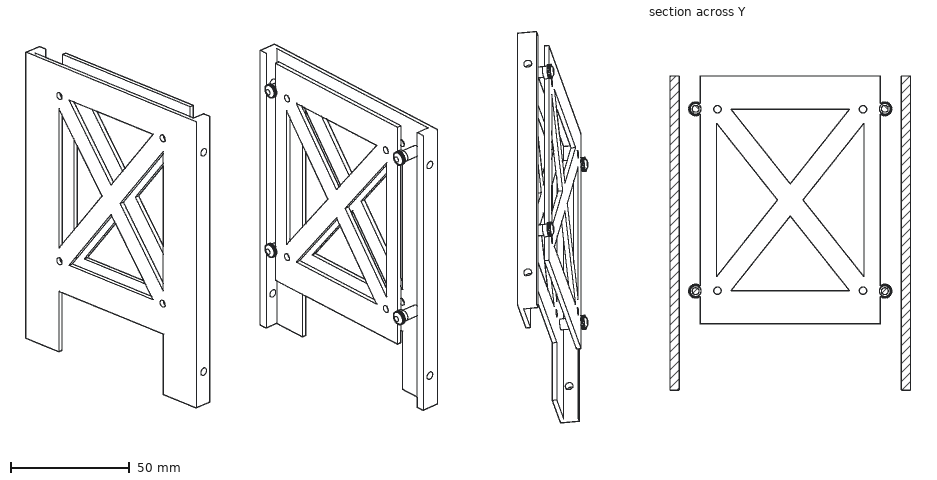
import cadquery as cq
HEIGHT = 132.6
WIDTH = 101.6
SHEET = 2.0
FLANGE_DEPTH = 8.1
FLANGE_THICKNESS = 4.0
CORNER_RADIUS = 0.4
LEG_NOTCH_HEIGHT = 28.0

WINDOW_WIDTH = 62.1
WINDOW_HEIGHT = 76.5
WINDOW_CENTER_Z = (HEIGHT + LEG_NOTCH_HEIGHT) / 2
BRACE_WIDTH = 8.5
BRACE_RUN = 60.8
CORNER_HOLE_SPACING = 61.4
CORNER_HOLE_DIAMETER = 3.0

SIDE_HOLE_DIAMETER = 3.3
SIDE_HOLE_INSET = 15.5
SIDE_HOLE_Y = 4.4

TOTAL_DEPTH = 13.5
HEAD_HEIGHT = 2.4
PLATE_BACK = TOTAL_DEPTH - HEAD_HEIGHT
PLATE_FRONT = PLATE_BACK - SHEET
PLATE_WIDTH = 76.0
STANDOFF_SPACING_X = 79.9
STANDOFF_SPACING_Z = 77.0
STANDOFF_DIAMETER = 4.6

SHANK_DIAMETER = 2.7
SHANK_LENGTH = PLATE_BACK - SHEET
HEAD_DIAMETER = 6.0
HEAD_RIM_HEIGHT = 1.5
HEAD_TOP_DIAMETER = 2.4
DOME_BULGE = 0.55
HEAD_FLUTES = 24
HEAD_FLUTE_DIAMETER = 0.5

STANDOFF_POSITIONS = [
    (side * STANDOFF_SPACING_X / 2, WINDOW_CENTER_Z + end * STANDOFF_SPACING_Z / 2)
    for side in (-1, 1)
    for end in (-1, 1)
]


def block(x_min, x_max, y_min, y_max, z_min, z_max):
    """Axis-aligned box between the given limits."""
    size = (x_max - x_min, y_max - y_min, z_max - z_min)
    return cq.Workplane("XY").box(*size, centered=False).translate((x_min, y_min, z_min))


def rod(x, z, diameter, y_start, y_end):
    """Cylinder along Y."""
    plane = cq.Workplane("XZ", origin=(x, y_start, z))
    return plane.circle(diameter / 2).extrude(y_start - y_end)


def braced_window():
    """Cutter for the window, leaving two crossed braces."""
    half_width = WINDOW_WIDTH / 2
    half_height = WINDOW_HEIGHT / 2
    slope = WINDOW_HEIGHT / BRACE_RUN
    apex_z = BRACE_WIDTH / 2 * (1 + slope**2) ** 0.5
    apex_x = apex_z / slope
    corner_x = (half_height - apex_z) / slope
    corner_z = half_width * slope - apex_z

    sketch = cq.Workplane("XZ", origin=(0, 0, WINDOW_CENTER_Z))
    for sign in (-1, 1):
        base_z = sign * half_height
        side_x = sign * half_width
        sketch = sketch.polyline([(-corner_x, base_z), (corner_x, base_z), (0, sign * apex_z)]).close()
        sketch = sketch.polyline([(side_x, -corner_z), (side_x, corner_z), (sign * apex_x, 0)]).close()
    return sketch.extrude(-TOTAL_DEPTH)


def corner_holes():
    """Cutter for the four holes at the ends of the braces."""
    plane = cq.Workplane("XZ", origin=(0, 0, WINDOW_CENTER_Z))
    holes = plane.rect(CORNER_HOLE_SPACING, WINDOW_HEIGHT, forConstruction=True).vertices()
    return holes.circle(CORNER_HOLE_DIAMETER / 2).extrude(-TOTAL_DEPTH)


def make_flange(side):
    """Side flange with its inner end edges rounded; side is -1 for left, 1 for right."""
    outer = side * WIDTH / 2
    inner = outer - side * FLANGE_THICKNESS
    flange = block(min(inner, outer), max(inner, outer), SHEET, FLANGE_DEPTH, 0, HEIGHT)
    inner_face = "<X" if side > 0 else ">X"
    return flange.faces(inner_face).edges("|Y").fillet(CORNER_RADIUS)


def make_frame():
    """Flanged sheet with legs, braced window, side holes and standoffs."""
    frame = block(-WIDTH / 2, WIDTH / 2, 0, SHEET, 0, HEIGHT)
    for side in (-1, 1):
        frame = frame.union(make_flange(side))

    outline = block(-WIDTH / 2, WIDTH / 2, 0, FLANGE_DEPTH, 0, HEIGHT)
    frame = frame.intersect(outline.edges("|Y").fillet(CORNER_RADIUS))

    half_gap = WINDOW_WIDTH / 2
    frame = frame.cut(block(-half_gap, half_gap, 0, SHEET, 0, LEG_NOTCH_HEIGHT))
    frame = frame.cut(braced_window()).cut(corner_holes())

    for z in (SIDE_HOLE_INSET, HEIGHT - SIDE_HOLE_INSET):
        plane = cq.Workplane("YZ", origin=(-WIDTH / 2, SIDE_HOLE_Y, z))
        frame = frame.cut(plane.circle(SIDE_HOLE_DIAMETER / 2).extrude(WIDTH))

    for x, z in STANDOFF_POSITIONS:
        frame = frame.union(rod(x, z, STANDOFF_DIAMETER, SHEET, PLATE_FRONT))
        frame = frame.cut(rod(x, z, SHANK_DIAMETER, PLATE_BACK - SHANK_LENGTH, PLATE_FRONT))
    return frame


def make_cover_plate():
    """Flat plate with the same window and a bored tab over each standoff."""
    half_width = PLATE_WIDTH / 2
    plate = block(-half_width, half_width, PLATE_FRONT, PLATE_BACK, LEG_NOTCH_HEIGHT, HEIGHT)

    half_tab = STANDOFF_DIAMETER / 2
    for x, z in STANDOFF_POSITIONS:
        arm = block(min(x, 0), max(x, 0), PLATE_FRONT, PLATE_BACK, z - half_tab, z + half_tab)
        plate = plate.union(arm).union(rod(x, z, STANDOFF_DIAMETER, PLATE_FRONT, PLATE_BACK))

    plate = plate.cut(braced_window()).cut(corner_holes())
    for x, z in STANDOFF_POSITIONS:
        plate = plate.cut(rod(x, z, SHANK_DIAMETER, PLATE_FRONT, PLATE_BACK))
    return plate


def make_screw(x, z):
    """Thumb screw along Y: shank, fluted rim seated on the plate, and domed top."""
    head_radius = HEAD_DIAMETER / 2
    shank_radius = SHANK_DIAMETER / 2
    top_radius = HEAD_TOP_DIAMETER / 2
    dome_radius = head_radius - HEAD_FLUTE_DIAMETER / 2
    dome_middle = (
        top_radius + DOME_BULGE * (dome_radius - top_radius),
        HEAD_RIM_HEIGHT + DOME_BULGE * (HEAD_HEIGHT - HEAD_RIM_HEIGHT),
    )
    profile = (
        cq.Workplane("XY")
        .moveTo(0, -SHANK_LENGTH)
        .lineTo(shank_radius, -SHANK_LENGTH)
        .lineTo(shank_radius, 0)
        .lineTo(head_radius, 0)
        .lineTo(head_radius, HEAD_RIM_HEIGHT)
        .lineTo(dome_radius, HEAD_RIM_HEIGHT)
        .threePointArc(dome_middle, (top_radius, HEAD_HEIGHT))
        .lineTo(0, HEAD_HEIGHT)
        .close()
    )
    screw = profile.revolve(360, (0, 0), (0, 1))

    flutes = (
        cq.Workplane("XZ")
        .polarArray(head_radius, 0, 360, HEAD_FLUTES)
        .circle(HEAD_FLUTE_DIAMETER / 2)
        .extrude(-HEAD_RIM_HEIGHT)
    )
    return screw.cut(flutes).translate((x, PLATE_BACK, z))


frame = make_frame()
cover_plate = make_cover_plate()
screws = [make_screw(x, z) for x, z in STANDOFF_POSITIONS]

result = cq.Compound.makeCompound(
    [frame.val(), cover_plate.val(), *[screw.val() for screw in screws]]
)